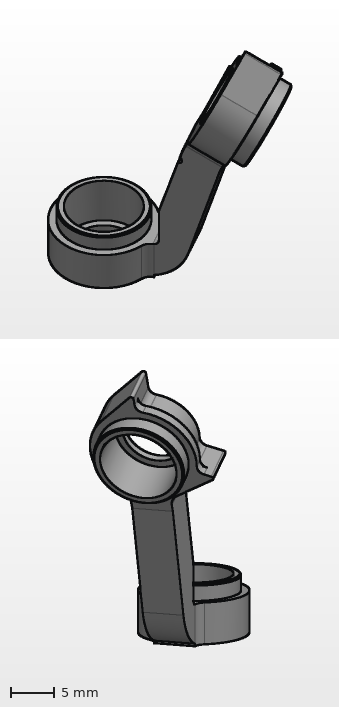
import cadquery as cq
import math

ring_radius = 6.5
ring_thickness = 5.0
collar_radius = 5.52
collar_height = 2.0
collar_chamfer = 0.17
bore_radius = 3.75
counterbore_radius = 4.65
bore_floor = 1.0

arm_heading = 16
arm_width = 5.0
arm_tilt = 16
knee_offset = 7.5
knee_height = 10.2
heel_radius = 6.4
heel_offset = 4.95
knee_root_radius = 0.75
lower_neck_radius = 1.5

head_offset = 13.75
head_height = 27.15
head_tilt = 25
head_bend_drop = 7.9
neck_radius = 1.6

tooth_tip_radius = 9.0
tooth_angles = (90, -16)
tooth_tip_rounding = 0.28
tooth_root_radius = 1.0
relief_radius = 5.35
relief_depth = 3.7

groove_radius = 0.45
groove_length = 2.4
groove_height = 18.45


def polar(radius, angle):
    return (radius * math.cos(math.radians(angle)), radius * math.sin(math.radians(angle)))


def collar(plane):
    return (
        cq.Workplane(plane)
        .workplane(offset=ring_thickness)
        .circle(collar_radius)
        .extrude(collar_height)
        .faces(cq.selectors.DirectionMinMaxSelector(plane.zDir, True))
        .chamfer(collar_chamfer)
    )


def stepped_bore(plane):
    depth = ring_thickness + collar_height
    bore = cq.Workplane(plane).circle(bore_radius).extrude(depth)
    counterbore = (
        cq.Workplane(plane)
        .workplane(offset=bore_floor)
        .circle(counterbore_radius)
        .extrude(depth - bore_floor)
    )
    return bore.union(counterbore)


base_plane = cq.Plane.XY()
tilt_sin = math.sin(math.radians(head_tilt))
tilt_cos = math.cos(math.radians(head_tilt))
head_plane = cq.Plane(
    origin=(head_offset, 0, head_height),
    xDir=(0, 1, 0),
    normal=(tilt_cos, 0, -tilt_sin),
)


def make_arm():
    """Bent strap from the lower ring to the bend below the upper ring."""
    bend = (head_offset - head_bend_drop * tilt_sin, head_height - head_bend_drop * tilt_cos)
    outer_bend = (bend[0] + ring_thickness * tilt_cos, bend[1] - ring_thickness * tilt_sin)
    heel_centre = (heel_offset, heel_radius)

    def heel_point(angle):
        across, up = polar(heel_radius, angle)
        return (heel_centre[0] + across, heel_centre[1] + up)

    strap = (
        cq.Workplane("XZ")
        .moveTo(heel_offset, 0)
        .threePointArc(heel_point(-(90 + arm_tilt) / 2), heel_point(-arm_tilt))
        .lineTo(*outer_bend)
        .lineTo(*bend)
        .lineTo(knee_offset, knee_height)
        .lineTo(knee_offset, ring_thickness)
        .lineTo(heel_offset, ring_thickness)
        .close()
        .extrude(arm_width / 2, both=True)
    )
    root = cq.selectors.NearestToPointSelector((knee_offset, 0, ring_thickness))
    return strap.edges(root).fillet(knee_root_radius)


def make_lower_neck():
    """Concave blends between the lower ring and the sides of the arm."""
    half_width = arm_width / 2
    blend_y = half_width + lower_neck_radius
    centre_distance = ring_radius + lower_neck_radius
    blend_x = math.sqrt(centre_distance**2 - blend_y**2)
    web = (
        cq.Workplane("XY")
        .polyline([(0, 0), (blend_x, -blend_y), (blend_x, blend_y)])
        .close()
        .extrude(ring_thickness)
    )
    blends = (
        cq.Workplane("XY")
        .pushPoints([(blend_x, blend_y), (blend_x, -blend_y)])
        .circle(lower_neck_radius)
        .extrude(ring_thickness)
    )
    return web.cut(blends)


def edge_at(point, depth):
    """Selects the upper-ring edge nearest to a point of its face, at a depth behind that face."""
    position = head_plane.toWorldCoords((point[0], point[1], depth))
    return cq.selectors.NearestToPointSelector(position.toTuple())


def make_toothed_ring(rim_radius, front, back):
    """Layer of the upper ring whose rim between the teeth has the given radius."""
    first, second = tooth_angles
    tangent_angle = math.degrees(math.acos(ring_radius / tooth_tip_radius))
    middle = (first + second) / 2
    ring = (
        cq.Workplane(head_plane)
        .workplane(offset=front)
        .moveTo(*polar(tooth_tip_radius, first))
        .lineTo(*polar(ring_radius, first + tangent_angle))
        .threePointArc(polar(ring_radius, middle + 180), polar(ring_radius, second - tangent_angle))
        .lineTo(*polar(tooth_tip_radius, second))
        .lineTo(*polar(rim_radius, second))
        .threePointArc(polar(rim_radius, middle), polar(rim_radius, first))
        .close()
        .extrude(back - front)
    )
    mid_depth = (front + back) / 2
    for angle in tooth_angles:
        ring = ring.edges(edge_at(polar(rim_radius, angle), mid_depth)).fillet(tooth_root_radius)
        ring = ring.edges(edge_at(polar(tooth_tip_radius, angle), mid_depth)).fillet(tooth_tip_rounding)
    return ring


def make_head():
    """Upper ring with its neck, two teeth and the relieved rim between them."""
    half_width = arm_width / 2
    neck = (
        cq.Workplane(head_plane)
        .moveTo(-half_width, 0)
        .lineTo(half_width, 0)
        .lineTo(half_width, -head_bend_drop)
        .lineTo(-half_width, -head_bend_drop)
        .close()
        .extrude(ring_thickness)
    )
    head = make_toothed_ring(relief_radius, 0, ring_thickness).union(neck)
    neck_start = -math.sqrt(ring_radius**2 - half_width**2)
    for side in (-half_width, half_width):
        head = head.edges(edge_at((side, neck_start), ring_thickness / 2)).fillet(neck_radius)
    return head.union(make_toothed_ring(ring_radius, relief_depth, ring_thickness))


def make_groove():
    """Half-round, ball-ended groove, open at the -Y side of the arm."""
    rise = groove_height - knee_height
    axis_offset = knee_offset + rise * math.tan(math.radians(arm_tilt))
    straight_length = groove_length - groove_radius
    plane = cq.Plane(
        origin=(axis_offset, -arm_width / 2, groove_height),
        xDir=(1, 0, 0),
        normal=(0, 1, 0),
    )
    straight = cq.Workplane(plane).circle(groove_radius).extrude(straight_length)
    ball = cq.Workplane(plane).workplane(offset=straight_length).sphere(groove_radius)
    return straight.union(ball)


lower_ring = cq.Workplane(base_plane).circle(ring_radius).extrude(ring_thickness)
body = lower_ring.union(make_lower_neck()).union(make_arm()).union(make_head())
body = body.cut(make_groove())
for plane in (base_plane, head_plane):
    body = body.union(collar(plane)).cut(stepped_bore(plane))

result = body.rotate((0, 0, 0), (0, 0, 1), arm_heading)